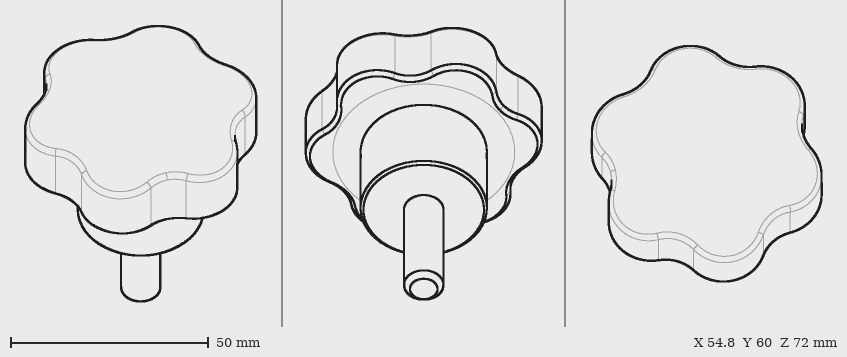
import cadquery as cq
import math

TOTAL_HEIGHT = 72.0
HEAD_BOTTOM = 52.0
HUB_BOTTOM = 30.0

LOBE_COUNT = 6
LOBE_TIP_DIAMETER = 60.0
LOBE_TIP_RADIUS = LOBE_TIP_DIAMETER / 2
LOBE_RADIUS = 10.6
HOLLOW_DEPTH_RADIUS = 24.9

DOME_RADIUS = 110.15
UNDERSIDE_FLAT_RADIUS = 23.05
UNDERSIDE_RISE = 0.7
TOP_FILLET = 1.5
BOTTOM_CHAMFER = 1.1

HUB_DIAMETER = 32.0
HUB_CHAMFER = 0.7
STUD_DIAMETER = 10.0
STUD_CHAMFER = 1.5

BLANK_MARGIN = 5.75
SELECT_MARGIN = 0.01


def polar(radius, angle):
    return (radius * math.cos(angle), radius * math.sin(angle))


def grip_outline():
    """Closed outline of alternating lobe and hollow arcs, with a lobe on +Y."""
    half_pitch = math.pi / LOBE_COUNT
    lobe_center = LOBE_TIP_RADIUS - LOBE_RADIUS
    along = lobe_center * math.cos(half_pitch)
    across = lobe_center * math.sin(half_pitch)
    gap = HOLLOW_DEPTH_RADIUS - along
    hollow_radius = (gap**2 + across**2 - LOBE_RADIUS**2) / (2 * (LOBE_RADIUS - gap))
    hollow_center = HOLLOW_DEPTH_RADIUS + hollow_radius

    share = LOBE_RADIUS / (LOBE_RADIUS + hollow_radius)
    tangent_along = along + share * (hollow_center - along)
    tangent_across = across * (1 - share)
    tangent_radius = math.hypot(tangent_along, tangent_across)
    tangent_angle = math.atan2(tangent_across, tangent_along)

    outline = cq.Workplane("XY").moveTo(*polar(tangent_radius, -tangent_angle))
    for index in range(LOBE_COUNT):
        hollow_angle = 2 * half_pitch * index
        lobe_angle = hollow_angle + half_pitch
        next_hollow_angle = hollow_angle + 2 * half_pitch
        outline = outline.threePointArc(
            polar(HOLLOW_DEPTH_RADIUS, hollow_angle),
            polar(tangent_radius, hollow_angle + tangent_angle),
        )
        outline = outline.threePointArc(
            polar(LOBE_TIP_RADIUS, lobe_angle),
            polar(tangent_radius, next_hollow_angle - tangent_angle),
        )
    return outline.close()


def dome_height(radius):
    drop = DOME_RADIUS - math.sqrt(DOME_RADIUS**2 - radius**2)
    return TOTAL_HEIGHT - drop


def grip_envelope():
    """Turned blank with a domed top and a slightly conical underside."""
    blank_radius = LOBE_TIP_RADIUS + BLANK_MARGIN
    slope = UNDERSIDE_RISE / (LOBE_TIP_RADIUS - UNDERSIDE_FLAT_RADIUS)
    rim_bottom = HEAD_BOTTOM + slope * (blank_radius - UNDERSIDE_FLAT_RADIUS)
    return (
        cq.Workplane("XZ")
        .moveTo(0, HEAD_BOTTOM)
        .lineTo(UNDERSIDE_FLAT_RADIUS, HEAD_BOTTOM)
        .lineTo(blank_radius, rim_bottom)
        .lineTo(blank_radius, dome_height(blank_radius))
        .threePointArc(
            (blank_radius / 2, dome_height(blank_radius / 2)),
            (0, TOTAL_HEIGHT),
        )
        .close()
        .revolve(360, (0, 0, 0), (0, 1, 0))
    )


def grip():
    body = grip_outline().extrude(TOTAL_HEIGHT).intersect(grip_envelope())
    body = body.faces(">Z").edges().fillet(TOP_FILLET)
    underside_rim = cq.selectors.BoxSelector(
        (-LOBE_TIP_RADIUS, -LOBE_TIP_RADIUS, HEAD_BOTTOM + SELECT_MARGIN),
        (LOBE_TIP_RADIUS, LOBE_TIP_RADIUS, HEAD_BOTTOM + UNDERSIDE_RISE + SELECT_MARGIN),
    )
    return body.edges(underside_rim).chamfer(BOTTOM_CHAMFER)


def chamfered_shaft(diameter, bottom, top, chamfer):
    shaft = cq.Workplane("XY").workplane(offset=bottom).circle(diameter / 2).extrude(top - bottom)
    return shaft.faces("<Z").chamfer(chamfer)


hub = chamfered_shaft(HUB_DIAMETER, HUB_BOTTOM, HEAD_BOTTOM, HUB_CHAMFER)
stud = chamfered_shaft(STUD_DIAMETER, 0, HUB_BOTTOM, STUD_CHAMFER)
result = grip().union(hub).union(stud)